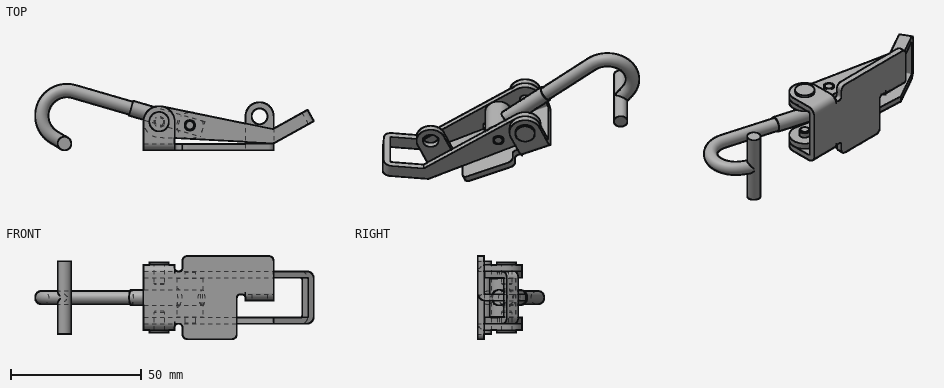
import cadquery as cq
import math


sheet = 2.5
bend_radius = 3.0
bend_inner_radius = bend_radius - sheet
pivot_y = 11.0
lug_radius = 6.0

plate_half_height = 32.0 / 2
plate_left = 8.9
plate_right = 44.0
plate_lower_right = 29.9
plate_corner_radius = 2.0
lug_outer_z = 12.5
lug_inner_z = lug_outer_z - sheet
lug_relief_z = 10.1
eye_left = 33.1
eye_outer_z = -1.2
eye_relief_z = 1.2
eye_centre_y = 13.1
eye_hole_radius = 3.0
relief_corner_radius = 1.3

lever_half_width = lug_inner_z
cheek_inner_z = lever_half_width - sheet
elbow_x = 44.0
elbow_y = 2.7
upper_elbow_x = 43.5
handle_angle = math.radians(29)
handle_width = 5.0
handle_tip_x = 59.4

rivet_head_radius = 3.7
rivet_head_height = 1.0
rivet_shank_radius = 2.0
rivet_end_z = 5.1
pin_chamfer = 0.4

trunnion_x = 11.8
trunnion_y = 9.6
barrel_radius = 5.0
barrel_half_length = 7.4
journal_radius = 2.0
bore_mouth_radius = 3.6

total_length = 107.0
total_depth = 25.6
rod_radius = 5.2 / 2
sleeve_radius = 3.0
sleeve_length = 23.4
hook_radius = 9.6
tee_x = -36.3
tee_y = rod_radius
tee_half_length = 14.0
hook_x = handle_tip_x - total_length + rod_radius + hook_radius
hook_y = total_depth - rod_radius - hook_radius


def tangent_point(centre, radius, point, side):
    """Touching point of the tangent from a point to a circle, side +1 or -1 picking which of the two."""
    dx = point[0] - centre[0]
    dy = point[1] - centre[1]
    angle = math.atan2(dy, dx) + side * math.acos(radius / math.hypot(dx, dy))
    return centre[0] + radius * math.cos(angle), centre[1] + radius * math.sin(angle)


def cylinder_z(x, y, radius, z_start, z_end):
    """Cylinder parallel to Z."""
    return cq.Workplane("XY", origin=(x, y, z_start)).circle(radius).extrude(z_end - z_start)


def box(x_range, y_range, z_range):
    """Box filling three (start, end) ranges."""
    (x0, x1), (y0, y1), (z0, z1) = x_range, y_range, z_range
    return cq.Workplane("XY").box(x1 - x0, y1 - y0, z1 - z0, centered=False).translate((x0, y0, z0))



def edge_bend(x_start, x_end, outer_z):
    """Quarter-round bend from the plate up to a flange whose outer face, facing -Z, is at outer_z."""
    axis_z = outer_z + bend_radius
    ring = (
        cq.Workplane("YZ", origin=(x_start, bend_radius, axis_z))
        .circle(bend_radius).circle(bend_inner_radius).extrude(x_end - x_start)
    )
    quarter = box((x_start, x_end), (0, bend_radius), (outer_z, axis_z))
    return ring.intersect(quarter)


def flange(x_centre, radius, y_centre, z_start):
    """Upright round-ended tab standing on a bend."""
    upright = box((x_centre - radius, x_centre + radius), (bend_radius, y_centre), (z_start, z_start + sheet))
    return upright.union(cylinder_z(x_centre, y_centre, radius, z_start, z_start + sheet))


def relief(x_start, x_end, z_edge):
    """Cutter for a bend relief, open towards -Z, its closed end at z_edge having rounded corners."""
    slot = box((x_start, x_end), (0, bend_radius), (-plate_half_height, z_edge))
    return slot.edges("|Y and >Z").fillet(relief_corner_radius)


def make_plate():
    """Flat plate with rounded outer corners, still solid where the bend reliefs go."""
    left = box((plate_left, plate_lower_right), (0, sheet), (-plate_half_height, plate_half_height))
    left = left.edges("|Y").edges("<X or <Z").fillet(plate_corner_radius)
    right_start = plate_lower_right - plate_corner_radius
    right_bottom = eye_outer_z + bend_radius
    right = box((right_start, plate_right), (0, sheet), (right_bottom, plate_half_height))
    right = right.edges("|Y and >Z and >X").fillet(plate_corner_radius)
    bend_start = lug_outer_z - bend_radius
    neck = box((-lug_radius, plate_left), (0, sheet), (-bend_start, bend_start))
    lug_webs = box((lug_radius, plate_left), (0, sheet), (-lug_outer_z, lug_outer_z))
    eye_web = box((plate_lower_right, eye_left), (0, sheet), (eye_outer_z, right_bottom))
    return left.union(right).union(neck).union(lug_webs).union(eye_web)


def make_base():
    lug_relief = relief(lug_radius, plate_left, -lug_relief_z)
    plate = make_plate().cut(lug_relief).cut(lug_relief.mirror("XY"))
    plate = plate.cut(relief(plate_lower_right, eye_left, eye_relief_z))

    lug = edge_bend(-lug_radius, lug_radius, -lug_outer_z)
    lug = lug.union(flange(0, lug_radius, pivot_y, -lug_outer_z))
    lug = lug.cut(cylinder_z(0, pivot_y, rivet_shank_radius, -lug_outer_z, -lug_inner_z))

    eye_radius = (plate_right - eye_left) / 2
    eye_x = eye_left + eye_radius
    eye = edge_bend(eye_left, plate_right, eye_outer_z)
    eye = eye.union(flange(eye_x, eye_radius, eye_centre_y, eye_outer_z))
    eye = eye.cut(cylinder_z(eye_x, eye_centre_y, eye_hole_radius, eye_outer_z, eye_outer_z + sheet))
    return plate.union(lug).union(lug.mirror("XY")).union(eye)



def handle_block(length, half_width, corner_radius):
    """Block along the handle, wide enough to span the lever, its two corners at the tip end rounded."""
    reach = total_length
    block = (
        cq.Workplane("XY").box(reach, reach, 2 * half_width)
        .translate((length - reach / 2, 0, 0))
        .edges("|Y and >X").fillet(corner_radius)
    )
    return block.rotate((0, 0, 0), (0, 0, 1), math.degrees(handle_angle)).translate((elbow_x, elbow_y, 0))


def make_lever():
    cos_a = math.cos(handle_angle)
    sin_a = math.sin(handle_angle)
    handle_length = (handle_tip_x - elbow_x) / cos_a
    elbow = (elbow_x, elbow_y)
    tip_lower = (handle_tip_x, elbow_y + handle_length * sin_a)
    tip_upper = (tip_lower[0] - handle_width * sin_a, tip_lower[1] + handle_width * cos_a)
    upper_elbow = (upper_elbow_x, tip_upper[1] - (tip_upper[0] - upper_elbow_x) * math.tan(handle_angle))
    pivot = (0, pivot_y)
    outline = (
        cq.Workplane("XY", origin=(0, 0, -lever_half_width))
        .moveTo(*tangent_point(pivot, lug_radius, elbow, -1))
        .lineTo(*elbow).lineTo(*tip_lower).lineTo(*tip_upper).lineTo(*upper_elbow)
        .lineTo(*tangent_point(pivot, lug_radius, upper_elbow, 1))
        .threePointArc((-lug_radius, pivot_y), tangent_point(pivot, lug_radius, elbow, -1))
        .close().extrude(2 * lever_half_width)
    )
    lever = outline.intersect(handle_block(handle_length, lever_half_width, bend_radius))
    lever = lever.cut(handle_block(handle_length - sheet, cheek_inner_z, bend_inner_radius))
    lever = lever.cut(cylinder_z(0, pivot_y, rivet_shank_radius, -lever_half_width, lever_half_width))
    return lever.cut(cylinder_z(trunnion_x, trunnion_y, journal_radius, -lever_half_width, lever_half_width))



def make_rivet(side):
    """Rivet at the +Z lug for side +1, at the -Z lug for side -1."""
    shank = cylinder_z(0, pivot_y, rivet_shank_radius, rivet_end_z, lug_outer_z)
    shank = shank.faces("<Z").chamfer(pin_chamfer)
    head = cylinder_z(0, pivot_y, rivet_head_radius, lug_outer_z, lug_outer_z + rivet_head_height)
    rivet = shank.union(head)
    return rivet if side > 0 else rivet.mirror("XY")



def hook_rod_frame():
    """Point where the straight rod meets the hook's bend, and the unit vector from the trunnion to it."""
    bend_end = tangent_point((hook_x, hook_y), hook_radius, (trunnion_x, trunnion_y), 1)
    dx = bend_end[0] - trunnion_x
    dy = bend_end[1] - trunnion_y
    length = math.hypot(dx, dy)
    return bend_end, cq.Vector(dx / length, dy / length, 0)


def make_trunnion():
    trunnion = cylinder_z(trunnion_x, trunnion_y, journal_radius, -lever_half_width, lever_half_width)
    trunnion = trunnion.faces("<Z or >Z").chamfer(pin_chamfer)
    barrel = cylinder_z(trunnion_x, trunnion_y, barrel_radius, -barrel_half_length, barrel_half_length)
    axis = hook_rod_frame()[1]
    centre = cq.Vector(trunnion_x, trunnion_y, 0)
    bore = cq.Solid.makeCylinder(sleeve_radius, 4 * barrel_radius, centre - axis * (2 * barrel_radius), axis)
    sink_depth = bore_mouth_radius - sleeve_radius
    sink_start = centre + axis * (barrel_radius - sink_depth)
    sink = cq.Solid.makeCone(sleeve_radius, bore_mouth_radius, sink_depth, sink_start, axis)
    return trunnion.union(barrel).cut(cq.Workplane(bore)).cut(cq.Workplane(sink))


def make_hook():
    bend_end, axis = hook_rod_frame()
    centre = cq.Vector(trunnion_x, trunnion_y, 0)
    sleeve_start = centre + axis * sleeve_length
    bend_start = tangent_point((hook_x, hook_y), hook_radius, (tee_x, tee_y), -1)
    path = (
        cq.Workplane("XY").moveTo(sleeve_start.x, sleeve_start.y).lineTo(*bend_end)
        .threePointArc((hook_x - hook_radius, hook_y), bend_start)
        .lineTo(tee_x, tee_y)
    )
    rod = cq.Workplane(cq.Plane(sleeve_start, normal=axis)).circle(rod_radius).sweep(path)
    sleeve = cq.Solid.makeCylinder(
        sleeve_radius, sleeve_length + barrel_radius, centre - axis * barrel_radius, axis
    )
    tee = cylinder_z(tee_x, tee_y, rod_radius, -tee_half_length, tee_half_length)
    return rod.union(cq.Workplane(sleeve)).union(tee)


base = make_base()
lever = make_lever()
rivets = [make_rivet(side) for side in (1, -1)]
trunnion = make_trunnion()
hook = make_hook()

result = cq.Compound.makeCompound(
    [base.val(), lever.val(), *[rivet.val() for rivet in rivets], trunnion.val(), hook.val()]
)